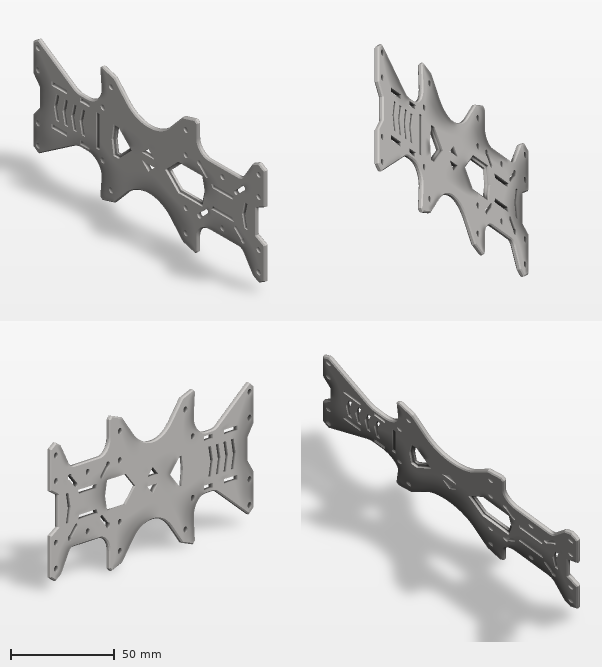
import cadquery as cq
import math

length = 161.3
height = 77.3
thickness = 2.5
edge_chamfer = 0.6
half_length = length / 2
half_height = height / 2

middle_x = -0.2
wing_tip_x = 32.3
wing_shoulder_x = 23.7
wing_shoulder_z = 36.1
wing_side_x = 34.0
wing_side_z = 37.1
arch_end_x = 14.8
arch_end_z = 26.1
arch_top_z = 19.5

tail_edge_top_z = 30.2
tail_edge_bottom_z = 12.1
tail_peak = (-76.8, 32.9)
tail_notch = (-76.0, 6.0)
tail_valley_z = 15.3
tail_valley_left_x = -50.0
tail_valley_right_x = -32.4

nose_edge_top_z = 32.0
nose_edge_bottom_z = 11.1
nose_peak = (76.3, 34.5)
nose_kink = (72.1, 32.3)
nose_notch = (74.5, 7.9)
nose_valley_z = 20.2
nose_valley_right_x = 64.5

tail_valley_left_radius = 8.5
tail_valley_right_radius = 9.7
nose_valley_left_radius = 8.0
nose_valley_right_radius = 4.2

hole_diameter = 3.0
hole_places = [
    (-76.8, 28.2),
    (-76.8, 15.3),
    (-31.8, 15.3),
    (-26.0, 29.8),
    (26.0, 29.8),
    (26.0, 15.3),
    (51.5, 14.8),
    (76.6, 28.2),
    (76.6, 15.3),
]

strap_slots = [(-62.0, 10.8), (-44.4, 7.0)]
strap_slot_z = 12.3
strap_slot_width = 2.4

tail_chevron_x = -65.8
tail_chevron_pitch = 6.0
tail_chevron_count = 4
nose_chevron_x = 65.0
chevron_half_height = 7.5
chevron_width = 2.1
chevron_lean = 1.6

recess_depth = 1.3

groove_x = -35.5
groove_width = 2.4
groove_length = 21.0

window_half_height = 9.0
ledge_width = 1.5
tail_window_x = (-25.6, -24.4, -20.8, -11.8)
nose_window_x = (39.2, 37.3, 20.6, 11.6)

triangle_half_width = 4.4
triangle_base_z = 2.3
triangle_tip_z = 6.6

tapered_slot_x = 51.3
tapered_slot_outer_length = 15.5
tapered_slot_inner_length = 13.9
tapered_slot_outer_z = 7.4
tapered_slot_inner_z = 5.2
keyhole_middle_x = 50.5
keyhole_head_offset = 15.2
keyhole_head_z = 15.2
keyhole_reach = 5.0
keyhole_shank_width = 2.3

front_plane = cq.Workplane("XZ", origin=(0, -thickness / 2, 0))
back_plane = cq.Workplane("XZ", origin=(0, thickness / 2, 0))


def mirrored(points):
    """Reflect points about Z = 0, in reverse order."""
    return [(x, -z) for x, z in reversed(points)]


def prism(points):
    """Solid through the full thickness with a straight-sided outline."""
    return back_plane.polyline(points).close().extrude(thickness)


def both_halves(solid):
    """Add the copy of a solid reflected about Z = 0."""
    return solid.union(solid.mirror("XY"))


def plate():
    """Outline with rounded valleys and both faces chamfered around it."""
    tail_side = [
        (-half_length, tail_edge_bottom_z),
        (-half_length, tail_edge_top_z),
        tail_peak,
        (tail_valley_left_x, tail_valley_z),
        (tail_valley_right_x, tail_valley_z),
        (middle_x - wing_side_x, wing_side_z),
        (middle_x - wing_tip_x, half_height),
        (middle_x - wing_shoulder_x, wing_shoulder_z),
        (middle_x - arch_end_x, arch_end_z),
    ]
    nose_side = [
        (middle_x + wing_shoulder_x, wing_shoulder_z),
        (middle_x + wing_tip_x, half_height),
        (middle_x + wing_side_x, wing_side_z),
        (middle_x + wing_side_x, nose_valley_z),
        (nose_valley_right_x, nose_valley_z),
        nose_kink,
        nose_peak,
        (half_length, nose_edge_top_z),
        (half_length, nose_edge_bottom_z),
        nose_notch,
    ]
    outline = (
        back_plane.moveTo(*tail_notch)
        .polyline(tail_side, includeCurrent=True)
        .threePointArc((middle_x, arch_top_z), (middle_x + arch_end_x, arch_end_z))
        .polyline(nose_side + mirrored(nose_side), includeCurrent=True)
        .lineTo(middle_x + arch_end_x, -arch_end_z)
        .threePointArc((middle_x, -arch_top_z), (middle_x - arch_end_x, -arch_end_z))
        .polyline(mirrored(tail_side)[1:], includeCurrent=True)
        .lineTo(tail_notch[0], -tail_notch[1])
        .close()
    )
    body = outline.extrude(thickness)
    body = round_corners(body, tail_valley_left_x, tail_valley_z, tail_valley_left_radius)
    body = round_corners(body, tail_valley_right_x, tail_valley_z, tail_valley_right_radius)
    body = round_corners(body, middle_x + wing_side_x, nose_valley_z, nose_valley_left_radius)
    body = round_corners(body, nose_valley_right_x, nose_valley_z, nose_valley_right_radius)
    return body.faces("<Y or >Y").edges().chamfer(edge_chamfer)


def round_corners(body, x, z, radius):
    """Round the outline corner at (x, z) and its reflection."""
    for corner_z in (z, -z):
        body = body.edges(cq.NearestToPointSelector((x, 0, corner_z))).fillet(radius)
    return body


def round_holes():
    places = hole_places + mirrored(hole_places)
    return back_plane.pushPoints(places).circle(hole_diameter / 2).extrude(thickness)


def strap_slot(x, slot_length):
    places = [(x, strap_slot_z), (x, -strap_slot_z)]
    return back_plane.pushPoints(places).rect(slot_length, strap_slot_width).extrude(thickness)


def chevron(point_x):
    end_x = point_x + chevron_lean
    return prism([
        (point_x, 0),
        (end_x, chevron_half_height),
        (end_x + chevron_width, chevron_half_height),
        (point_x + chevron_width, 0),
        (end_x + chevron_width, -chevron_half_height),
        (end_x, -chevron_half_height),
    ])


def groove():
    return front_plane.center(groove_x, 0).rect(groove_width, groove_length).extrude(-recess_depth)


def window(blunt_point_x, blunt_corner_x, sharp_corner_x, sharp_point_x):
    corners = [(blunt_corner_x, window_half_height), (sharp_corner_x, window_half_height)]
    points = [(blunt_point_x, 0)] + corners + [(sharp_point_x, 0)] + mirrored(corners)
    ledge = front_plane.polyline(points).close().extrude(-recess_depth)
    opening = back_plane.polyline(points).close().offset2D(-ledge_width).extrude(thickness)
    return ledge.union(opening)


def triangles():
    upper = prism([
        (middle_x - triangle_half_width, triangle_base_z),
        (middle_x + triangle_half_width, triangle_base_z),
        (middle_x, triangle_tip_z),
    ])
    return both_halves(upper)


def tapered_slots():
    outer = tapered_slot_outer_length / 2
    inner = tapered_slot_inner_length / 2
    upper = prism([
        (tapered_slot_x - outer, tapered_slot_outer_z),
        (tapered_slot_x + outer, tapered_slot_outer_z),
        (tapered_slot_x + inner, tapered_slot_inner_z),
        (tapered_slot_x - inner, tapered_slot_inner_z),
    ])
    return both_halves(upper)


def keyhole(side):
    """Upper keyhole left (side = -1) or right (side = 1) of the keyhole middle."""
    head_x = keyhole_middle_x + side * keyhole_head_offset
    toe_x = head_x - side * keyhole_reach
    toe_z = keyhole_head_z - keyhole_reach
    shank_length = keyhole_reach * math.sqrt(2) + keyhole_shank_width
    head = back_plane.center(head_x, keyhole_head_z).circle(hole_diameter / 2).extrude(thickness)
    shank = (
        back_plane.center((head_x + toe_x) / 2, (keyhole_head_z + toe_z) / 2)
        .slot2D(shank_length, keyhole_shank_width, side * 45)
        .extrude(thickness)
    )
    return both_halves(head.union(shank))


result = plate().cut(round_holes())
for slot_x, slot_length in strap_slots:
    result = result.cut(strap_slot(slot_x, slot_length))
for index in range(tail_chevron_count):
    result = result.cut(chevron(tail_chevron_x + index * tail_chevron_pitch))
result = result.cut(chevron(nose_chevron_x))
result = result.cut(groove())
result = result.cut(window(*tail_window_x))
result = result.cut(window(*nose_window_x))
result = result.cut(triangles())
result = result.cut(tapered_slots())
for side in (-1, 1):
    result = result.cut(keyhole(side))